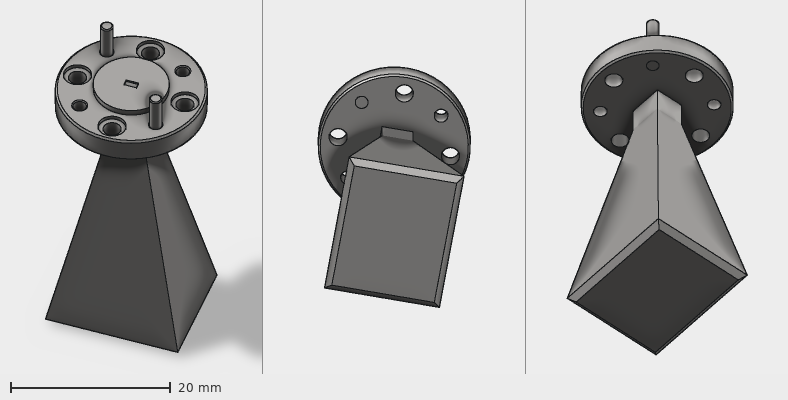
import cadquery as cq
import math

total_height = 42.25
pin_protrusion = 4.63
flange_thickness = 3.27
neck_length = 3.55
lip_height = 0.8
flange_bottom = -flange_thickness
neck_bottom = flange_bottom - neck_length
horn_bottom = pin_protrusion - total_height
lip_top = horn_bottom + lip_height

flange_diameter = 19.05
flange_chamfer = 0.25
boss_diameter = 9.525
boss_height = 0.78

neck_size = (4.7, 3.95)
mouth_size = (17.6, 14.635)
lip_inset = 0.8
mouth_tip_size = (mouth_size[0] - 2 * lip_inset, mouth_size[1] - 2 * lip_inset)

window_size = (1.65, 0.88)
window_depth = 0.25

hole_circle_radius = 14.29 / 2
screw_hole_diameter = 2.25
counterbore_diameter = 3.53
counterbore_depth = 0.5
dowel_hole_diameter = 1.7
dowel_hole_chamfer = 0.15
dowel_hole_angles = (45, 225)

pin_diameter = 1.6
pin_chamfer = 0.15
pin_angles = (135, 315)
pin_hole_chamfer = 0.1


def on_hole_circle(angle):
    """Offset from the flange axis to a hole centre at the given angle in degrees."""
    turn = math.radians(angle)
    return (hole_circle_radius * math.cos(turn), hole_circle_radius * math.sin(turn), 0)


def cylinder(diameter, bottom, top):
    return cq.Workplane("XY").workplane(offset=bottom).circle(diameter / 2).extrude(top - bottom)


def taper(bottom_size, bottom, top_size, top):
    """Rectangular frustum between two levels."""
    return (
        cq.Workplane("XY")
        .workplane(offset=bottom)
        .rect(*bottom_size)
        .workplane(offset=top - bottom)
        .rect(*top_size)
        .loft(ruled=True)
    )


def chamfered_hole(diameter, chamfer, angle):
    """Cutter for a hole through the flange with a 45 degree chamfer at the top."""
    radius = diameter / 2
    mouth = cq.Solid.makeCone(radius, radius + chamfer, chamfer, cq.Vector(0, 0, -chamfer))
    return cylinder(diameter, flange_bottom, 0).union(cq.Workplane(mouth)).translate(on_hole_circle(angle))


def counterbored_hole(angle):
    """Cutter for a screw hole through the flange."""
    through = cylinder(screw_hole_diameter, flange_bottom, 0)
    counterbore = cylinder(counterbore_diameter, -counterbore_depth, 0)
    return through.union(counterbore).translate(on_hole_circle(angle))


def make_horn():
    """Flange, boss, neck and flared horn as one solid."""
    flange = cylinder(flange_diameter, flange_bottom, 0).edges().chamfer(flange_chamfer)
    boss = cylinder(boss_diameter, 0, boss_height)
    neck = cq.Workplane("XY").workplane(offset=neck_bottom).rect(*neck_size).extrude(neck_length)
    flare = taper(mouth_size, lip_top, neck_size, neck_bottom)
    lip = taper(mouth_tip_size, horn_bottom, mouth_size, lip_top)
    body = flange.union(boss).union(neck).union(flare).union(lip)

    window = cq.Workplane("XY").workplane(offset=boss_height).rect(*window_size).extrude(-window_depth)
    body = body.cut(window)
    for angle in range(0, 360, 90):
        body = body.cut(counterbored_hole(angle))
    for angle in dowel_hole_angles:
        body = body.cut(chamfered_hole(dowel_hole_diameter, dowel_hole_chamfer, angle))
    for angle in pin_angles:
        body = body.cut(chamfered_hole(pin_diameter, pin_hole_chamfer, angle))
    return body


def make_pin(angle):
    """Dowel pin reaching down to the underside of the flange."""
    pin = cylinder(pin_diameter, flange_bottom, pin_protrusion)
    return pin.faces(">Z").chamfer(pin_chamfer).translate(on_hole_circle(angle))


horn = make_horn()
pins = [make_pin(angle) for angle in pin_angles]

result = cq.Compound.makeCompound([horn.val(), *[pin.val() for pin in pins]])